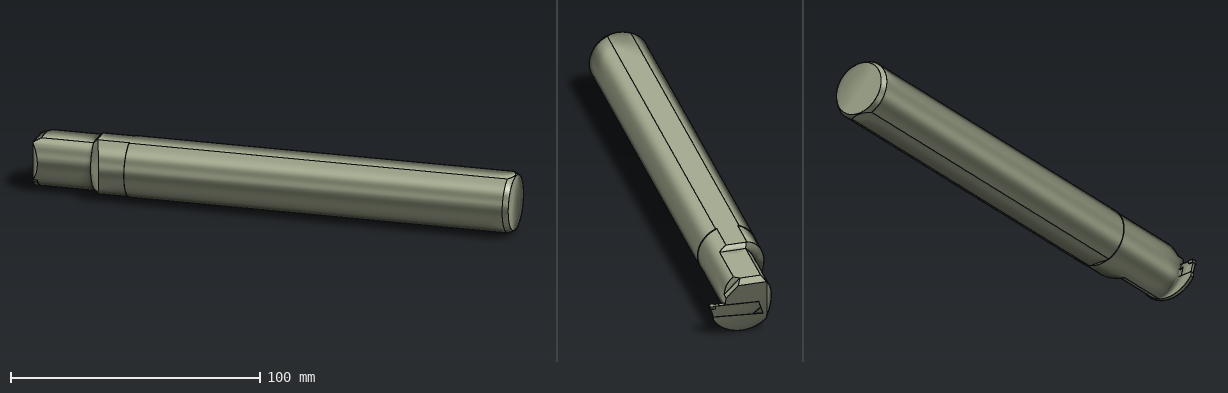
import cadquery as cq
import math

overall_length = 200.0

shank_radius = 12.5
flat_height = 11.5
end_chamfer_length = 2.2
end_chamfer_depth = 1.2

collar_radius = 12.3
collar_end = 40.0
neck_radius = 12.9
neck_offset = 5.2
neck_length = 24.8
neck_flat_height = 9.7
flat_ramp_length = flat_height - neck_flat_height

top_bevel_length = 3.0
top_bevel_drop = 1.5
side_bevel = 2.5
chip_bevel_sum = 15.0
chip_flat_length = 3.0
chip_ramp_length = 3.0

blade_thickness = 1.8
blade_radius = 14.5
blade_bottom = -12.9
blade_side = 16.8
blade_root_radius = 1.0

edge_tip = 18.5
edge_width = 2.4
edge_root = 16.4
edge_depth = 1.2
face_recess = 0.2
insert_top_outer = (14.8, 0.0)
insert_top_inner = (-1.7, -0.7)
insert_bottom_inner = (-3.5, -6.4)
insert_bottom_outer = (17.2, -4.9)
clip_end_share = 0.5
clip_bottom_share = 0.2
clip_depth = 0.2
insert_front_heel = (17.9, -2.2)


def extrude_profile(points, start, length):
    """Extrude a closed (Y, Z) outline along X."""
    return cq.Workplane("YZ").workplane(offset=start).polyline(points).close().extrude(length)


def cylinder(radius, start, length, center_y=0.0, center_z=0.0):
    """Cylinder whose axis runs along X."""
    plane = cq.Workplane("YZ").workplane(offset=start)
    return plane.center(center_y, center_z).circle(radius).extrude(length)


def make_shank():
    chamfer_start = overall_length - end_chamfer_length
    end_radius = shank_radius - end_chamfer_depth
    profile = [
        (collar_end, 0),
        (collar_end, shank_radius),
        (chamfer_start, shank_radius),
        (overall_length, end_radius),
        (overall_length, 0),
    ]
    round_bar = cq.Workplane("XY").polyline(profile).close().revolve(360, (0, 0, 0), (1, 0, 0))
    flats = cq.Workplane("XY").box(2 * overall_length, 2 * shank_radius, 2 * flat_height)
    return round_bar.intersect(flats)


def make_neck_envelope():
    """Offset round neck that flares at 45 degrees into the collar."""
    flare_length = collar_end - neck_length
    neck_side = neck_offset - neck_radius
    profile = [
        (0, neck_offset),
        (0, neck_side),
        (neck_length, neck_side),
        (collar_end, neck_side - flare_length),
        (collar_end, neck_offset),
    ]
    axis_start = (0, neck_offset, 0)
    axis_end = (1, neck_offset, 0)
    flared = cq.Workplane("XY").polyline(profile).close().revolve(360, axis_start, axis_end)
    bevel_corner = [
        (0, neck_side),
        (0, neck_side + side_bevel),
        (side_bevel, neck_side),
    ]
    bevel = cq.Workplane("XY").polyline(bevel_corner).close().extrude(shank_radius, both=True)
    return flared.cut(bevel)


def make_top_envelope():
    """Side outline of the neck and collar, with its stepped top flat."""
    outline = [
        (0, -shank_radius),
        (0, neck_flat_height - top_bevel_drop),
        (top_bevel_length, neck_flat_height),
        (neck_length, neck_flat_height),
        (neck_length + flat_ramp_length, flat_height),
        (collar_end, flat_height),
        (collar_end, -shank_radius),
    ]
    return cq.Workplane("XZ").polyline(outline).close().extrude(2 * shank_radius, both=True)


def make_chip_clearance():
    """Wedge that bevels the upper corner of the nose and runs out at 45 degrees."""
    plane_distance = chip_bevel_sum / math.sqrt(2)
    bevel_plane = cq.Plane(origin=(0, 0, 0), xDir=(1, 0, 0), normal=(0, -1, 1))
    outline = [
        (0, plane_distance),
        (chip_flat_length, plane_distance),
        (chip_flat_length + chip_ramp_length, plane_distance + chip_ramp_length),
        (0, plane_distance + chip_ramp_length),
    ]
    return cq.Workplane(bevel_plane).polyline(outline).close().extrude(2 * shank_radius, both=True)


def make_head():
    collar = cylinder(collar_radius, 0, collar_end)
    head = collar.intersect(make_neck_envelope()).intersect(make_top_envelope())
    return head.cut(make_chip_clearance())


def make_support_blade():
    disc_center_z = blade_bottom + blade_radius
    blade_inner = neck_offset - neck_radius + side_bevel
    disc = cylinder(blade_radius, 0, blade_thickness, neck_offset, disc_center_z)
    limits = extrude_profile([
        (blade_inner, blade_bottom),
        (blade_side, blade_bottom),
        insert_bottom_outer,
        insert_top_outer,
        (blade_inner, insert_top_outer[1]),
    ], 0, blade_thickness)
    return disc.intersect(limits)


def make_root_fillet():
    """Concave fillet between the back of the blade and the round head."""
    wall = collar_radius - blade_root_radius
    crest = collar_radius + blade_root_radius
    profile = (
        cq.Workplane("XY")
        .moveTo(0, wall)
        .lineTo(0, crest)
        .lineTo(blade_thickness, crest)
        .radiusArc((blade_thickness + blade_root_radius, collar_radius), -blade_root_radius)
        .lineTo(blade_thickness + blade_root_radius, wall)
        .close()
    )
    ring = profile.revolve(360, (0, 0, 0), (1, 0, 0))
    below_clearance = extrude_profile([
        (0, blade_bottom),
        (blade_side, blade_bottom),
        (blade_side, chip_bevel_sum - blade_side),
        (chip_bevel_sum, 0),
    ], 0, 2 * blade_thickness)
    disc = cylinder(blade_radius, 0, 2 * blade_thickness, neck_offset, blade_bottom + blade_radius)
    return ring.intersect(below_clearance).intersect(disc)


def make_insert_pocket():
    return extrude_profile([
        (insert_top_outer[0] + edge_tip, insert_top_outer[1]),
        insert_top_outer,
        insert_top_inner,
        insert_bottom_inner,
        insert_bottom_outer,
        (insert_top_outer[0] + edge_tip, insert_bottom_outer[1]),
    ], 0, blade_thickness)


def point_between(start, end, share):
    """Point lying the given share of the way from start to end."""
    return tuple(a + share * (b - a) for a, b in zip(start, end))


def make_holder():
    body = make_shank().union(make_head()).union(make_support_blade()).union(make_root_fillet())
    return body.cut(make_insert_pocket())


def make_insert():
    plate = extrude_profile([
        (edge_tip, 0),
        insert_top_outer,
        insert_top_inner,
        insert_bottom_inner,
        insert_bottom_outer,
        insert_front_heel,
        (edge_tip, -edge_depth),
    ], face_recess, blade_thickness - face_recess)
    cutting_edge = extrude_profile([
        (edge_tip, 0),
        (edge_root, 0),
        (edge_root, -edge_depth),
        (edge_tip, -edge_depth),
    ], 0, edge_width)
    stepped_corner = extrude_profile([
        insert_bottom_inner,
        point_between(insert_top_inner, insert_bottom_inner, clip_end_share),
        point_between(insert_bottom_inner, insert_bottom_outer, clip_bottom_share),
    ], face_recess, clip_depth)
    return plate.cut(stepped_corner).union(cutting_edge)


holder = make_holder()
insert = make_insert()
result = cq.Compound.makeCompound([holder.val(), insert.val()])